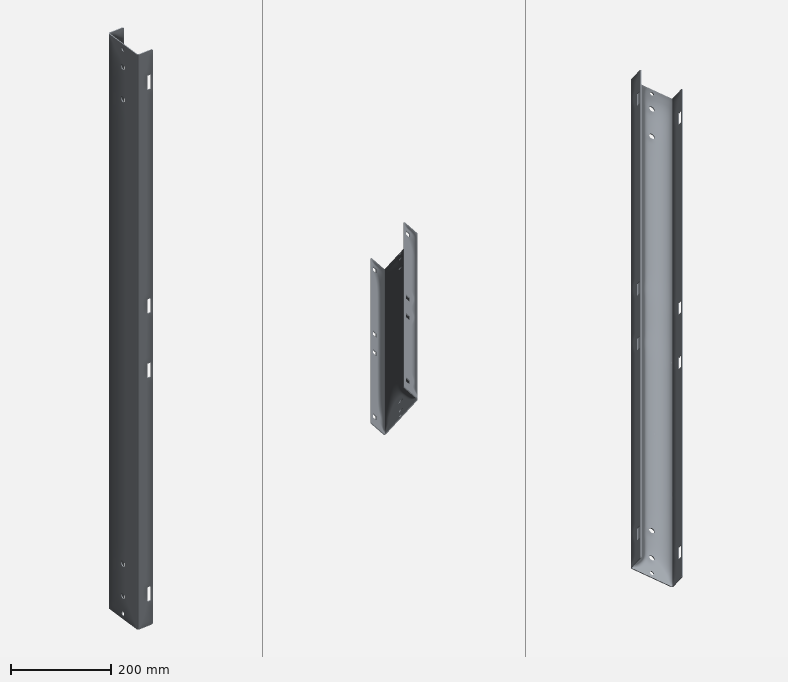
import cadquery as cq

length = 1365.0
width = 101.0
depth = 38.0
thickness = 2.0
bend_radius = 4.0
corner_radius = 4.0

web_holes = [(12.0, 10.0), (55.0, 12.0), (131.0, 13.0)]

slot_length = 34.0
slot_width = 8.9
slot_edge_distance = 10.0
slot_end_distances = [75.0, 606.0]


def bent_channel():
    """Sheet bent into a U, extruded along Z and centred on its length."""
    outer = (
        cq.Workplane("XY")
        .box(width, depth, length, centered=(True, False, True))
        .edges("|Z and <Y")
        .fillet(bend_radius)
    )
    inner = (
        cq.Workplane("XY")
        .box(width - 2 * thickness, depth, length, centered=(True, False, True))
        .edges("|Z and <Y")
        .fillet(bend_radius - thickness)
        .translate((0, thickness, 0))
    )
    channel = outer.cut(inner)
    return channel.faces(">Y").edges("|X").fillet(corner_radius)


def both_ends(end_distance):
    """Heights of a feature repeated at both ends of the channel."""
    height = length / 2 - end_distance
    return [height, -height]


def web_hole_cutter(end_distance, diameter):
    """Pair of round cutters through the web, mirrored end to end."""
    return (
        cq.Workplane("XZ")
        .pushPoints([(0, z) for z in both_ends(end_distance)])
        .circle(diameter / 2)
        .extrude(-depth)
    )


def flange_slot_cutter(end_distance):
    """Pair of slot cutters through both flanges, mirrored end to end."""
    slot_y = depth - slot_edge_distance
    return (
        cq.Workplane("YZ")
        .pushPoints([(slot_y, z) for z in both_ends(end_distance)])
        .rect(slot_width, slot_length)
        .extrude(width, both=True)
    )


result = bent_channel()
for end_distance, diameter in web_holes:
    result = result.cut(web_hole_cutter(end_distance, diameter))
for end_distance in slot_end_distances:
    result = result.cut(flange_slot_cutter(end_distance))